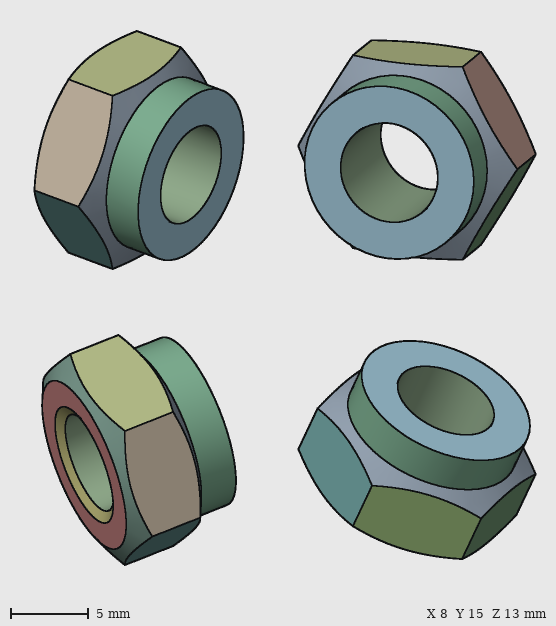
import cadquery as cq
import math

across_corners = 15.01
total_length = 8.0
hex_length = 5.48
collar_diameter = 11.59
bore_diameter = 6.65
countersink_diameter = 8.0
countersink_angle = 60.0
corner_chamfer_angle = 30.0

corner_radius = across_corners / 2
collar_radius = collar_diameter / 2
bore_radius = bore_diameter / 2
countersink_radius = countersink_diameter / 2
corner_chamfer_length = (corner_radius - collar_radius) * math.tan(math.radians(corner_chamfer_angle))
countersink_depth = (countersink_radius - bore_radius) / math.tan(math.radians(countersink_angle))


def revolve_about_x(profile):
    """Turn a closed (x, radius) profile around the nut axis."""
    return cq.Workplane("XY").polyline(profile).close().revolve(360, (0, 0, 0), (1, 0, 0))


def hexagon_body():
    """Hexagonal prism with two corners on the Y axis and conical corner chamfers."""
    prism = cq.Workplane("YZ").polygon(6, across_corners).extrude(hex_length)
    chamfer_envelope = revolve_about_x([
        (0, 0),
        (0, collar_radius),
        (corner_chamfer_length, corner_radius),
        (hex_length - corner_chamfer_length, corner_radius),
        (hex_length, collar_radius),
        (hex_length, 0),
    ])
    return prism.intersect(chamfer_envelope)


def collar():
    """Round collar behind the hexagon."""
    return cq.Workplane("YZ", origin=(hex_length, 0, 0)).circle(collar_radius).extrude(
        total_length - hex_length
    )


def countersunk_bore():
    """Through bore with a conical countersink at the hexagon's face."""
    return revolve_about_x([
        (0, 0),
        (0, countersink_radius),
        (countersink_depth, bore_radius),
        (total_length, bore_radius),
        (total_length, 0),
    ])


result = hexagon_body().union(collar()).cut(countersunk_bore())